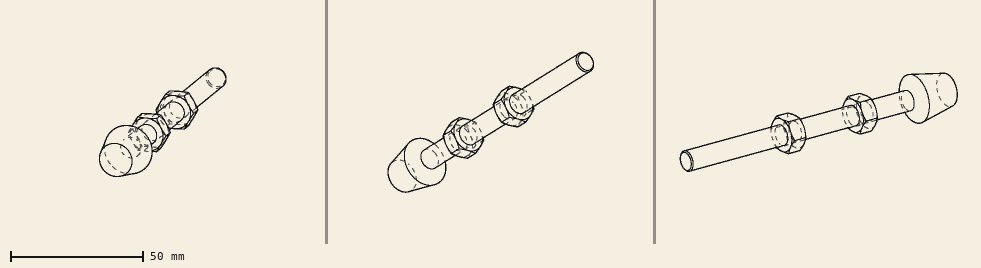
import cadquery as cq
import math


total_length = 123.5

cap_rim_diameter = 19.0
cap_tip_diameter = 13.0
cap_rim_y = 15.5
cap_height = 18.5

rod_diameter = 8.0
rod_end_chamfer = 0.5

nut_across_flats = 13.0
nut_thickness = 6.5
nut_chamfer_angle = 30.0
nut_centers_y = (41.2, 75.0)

nut_across_corners = nut_across_flats / math.cos(math.radians(30.0))


def revolve_about_y(profile):
    """Turn a closed profile of (radius, y) points about the Y axis."""
    return cq.Workplane("XY").polyline(profile).close().revolve(360.0, (0, 0, 0), (0, 1, 0))


def make_cap():
    """Cap with a long cone down to the tip and a short cone up to the rod surface."""
    return revolve_about_y([
        (0, 0),
        (cap_tip_diameter / 2, 0),
        (cap_rim_diameter / 2, cap_rim_y),
        (rod_diameter / 2, cap_height),
        (0, cap_height),
    ])


def make_rod():
    """Rod standing on the cap, with a chamfered free end."""
    radius = rod_diameter / 2
    return revolve_about_y([
        (0, cap_height),
        (radius, cap_height),
        (radius, total_length - rod_end_chamfer),
        (radius - rod_end_chamfer, total_length),
        (0, total_length),
    ])


def make_nut(center_y):
    """Hexagon nut with flats facing +Z and -Z, corners turned off and bore fitting the rod."""
    half = nut_thickness / 2
    hexagon = cq.Workplane("XZ").polygon(6, nut_across_corners).extrude(half, both=True)

    bore_radius = rod_diameter / 2
    face_radius = nut_across_flats / 2
    corner_radius = nut_across_corners / 2
    corner_drop = (corner_radius - face_radius) * math.tan(math.radians(nut_chamfer_angle))
    turned_ring = revolve_about_y([
        (bore_radius, half),
        (face_radius, half),
        (corner_radius, half - corner_drop),
        (corner_radius, corner_drop - half),
        (face_radius, -half),
        (bore_radius, -half),
    ])
    return hexagon.intersect(turned_ring).translate((0, center_y, 0))


cap = make_cap()
rod = make_rod()
nuts = [make_nut(center_y) for center_y in nut_centers_y]

result = cq.Compound.makeCompound([cap.val(), rod.val(), *[nut.val() for nut in nuts]])